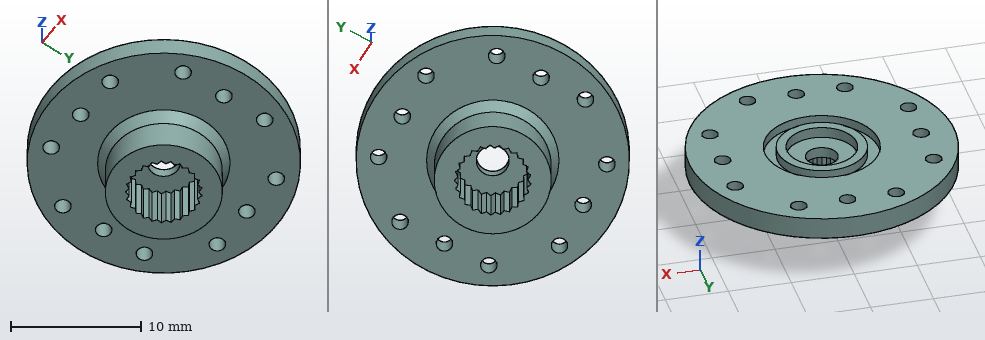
import cadquery as cq
import math

height = 5.5
disc_radius = 10.5
disc_thickness = 1.76
hub_radius = 4.5
cone_top_radius = 5.08
cone_height = 0.97

groove_inner_radius = 3.5
groove_depth = 0.75
pocket_radius = 2.75
pocket_depth = 0.88
screw_hole_radius = 1.25

tooth_count = 25
socket_root_radius = 2.95
socket_tip_radius = 2.69

mount_hole_radius = 0.63
mount_row_distance = 7.88
mount_hole_spacing = 3.86

disc_bottom = height - disc_thickness
cone_bottom = disc_bottom - cone_height


def make_body():
    """Disc, conical neck and cylindrical hub, turned about Z."""
    profile = [
        (0, 0),
        (hub_radius, 0),
        (hub_radius, cone_bottom),
        (cone_top_radius, disc_bottom),
        (disc_radius, disc_bottom),
        (disc_radius, height),
        (0, height),
    ]
    return cq.Workplane("XZ").polyline(profile).close().revolve(360, (0, 0), (0, 1))


def make_top_recesses():
    """Groove, central pocket and through hole, all on the Z axis."""
    groove = (
        cq.Workplane("XY", origin=(0, 0, height))
        .circle(hub_radius)
        .circle(groove_inner_radius)
        .extrude(-groove_depth)
    )
    pocket = cq.Workplane("XY", origin=(0, 0, height)).circle(pocket_radius).extrude(-pocket_depth)
    screw_hole = cq.Workplane("XY").circle(screw_hole_radius).extrude(height)
    return groove.union(pocket).union(screw_hole)


def make_socket():
    """Socket with V-shaped teeth, from the hub underside up to the disc; one root lies on +Y."""
    half_pitch = math.pi / tooth_count
    points = []
    for i in range(2 * tooth_count):
        radius = socket_root_radius if i % 2 == 0 else socket_tip_radius
        angle = math.pi / 2 + i * half_pitch
        points.append((radius * math.cos(angle), radius * math.sin(angle)))
    return cq.Workplane("XY").polyline(points).close().extrude(disc_bottom)


def make_mount_holes():
    """Straight holes through the disc."""
    centers = []
    for side in (-mount_row_distance, mount_row_distance):
        for offset in (-mount_hole_spacing, 0, mount_hole_spacing):
            centers.append((side, offset))
            centers.append((offset, side))
    return cq.Workplane("XY").pushPoints(centers).circle(mount_hole_radius).extrude(height)


result = make_body().cut(make_top_recesses()).cut(make_socket()).cut(make_mount_holes())